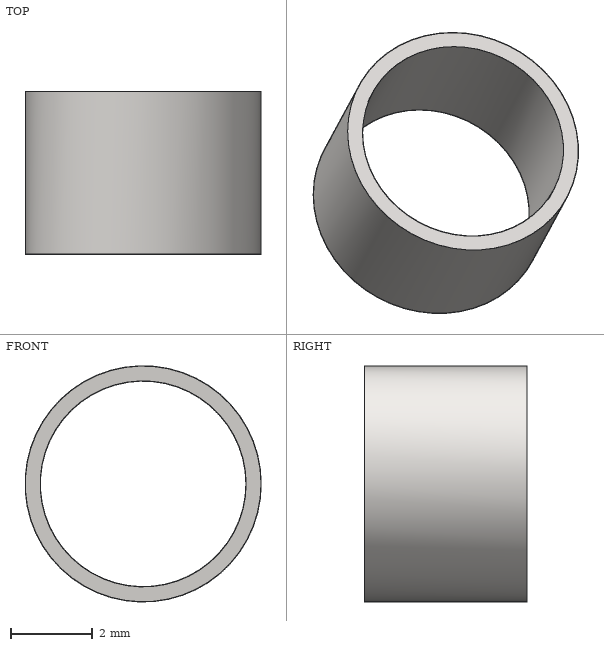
import cadquery as cq

outer_diameter = 5.8
inner_diameter = 5.045
length = 4.0

result = (
    cq.Workplane("XZ", origin=(0, length / 2, 0))
    .circle(outer_diameter / 2)
    .circle(inner_diameter / 2)
    .extrude(length)
)